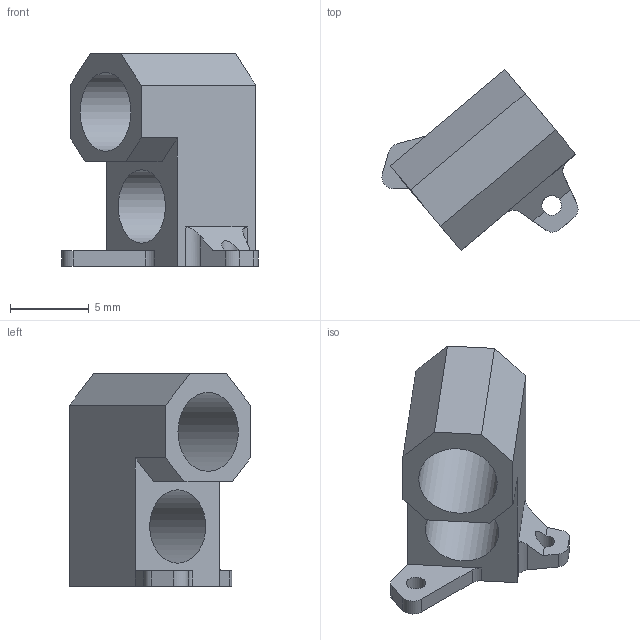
import cadquery as cq
import math

TURN_ANGLE = 40.0

WIDTH = 7.0
TUBE_LENGTH = 9.5
TOTAL_HEIGHT = 13.5
TUBE_BOTTOM = 6.65
TOP_CHAMFER = 2.0
BOTTOM_CHAMFER = 1.5
UPPER_BORE_DIAMETER = 5.0
UPPER_BORE_HEIGHT = 9.8

BLOCK_SETBACK = 3.0
LOWER_BORE_DIAMETER = 4.65
BORE_SPACING = 6.0

LUG_THICKNESS = 1.0
LUG_RADIUS = 1.5
LUG_ROUND = 0.75
SCREW_DIAMETER = 1.25

SIDE_LUG_TAPER = 15.0
RAMP_RUN = LUG_RADIUS

FRONT_SCREW_REACH = 2.015
FRONT_SCREW_INSET = 0.74
FRONT_LUG_END_NORMAL = 124.0
FRONT_LUG_RIGHT_NORMAL = 270.0 - TURN_ANGLE

HALF_WIDTH = WIDTH / 2
BLOCK_LENGTH = TUBE_LENGTH - BLOCK_SETBACK
BLOCK_TOP = TUBE_BOTTOM + BOTTOM_CHAMFER
LOWER_BORE_HEIGHT = UPPER_BORE_HEIGHT - BORE_SPACING
SIDE_SCREW = (BLOCK_SETBACK + BLOCK_LENGTH / 2, -HALF_WIDTH - LUG_RADIUS)
BLOCK_CORNER = (BLOCK_SETBACK, HALF_WIDTH)
FRONT_SCREW = (BLOCK_SETBACK - FRONT_SCREW_REACH, HALF_WIDTH - FRONT_SCREW_INSET)


def tube():
    """Solid octagonal bar."""
    top_half = HALF_WIDTH - TOP_CHAMFER
    bottom_half = HALF_WIDTH - BOTTOM_CHAMFER
    shoulder = TOTAL_HEIGHT - TOP_CHAMFER
    right_side = [
        (bottom_half, TUBE_BOTTOM),
        (HALF_WIDTH, BLOCK_TOP),
        (HALF_WIDTH, shoulder),
        (top_half, TOTAL_HEIGHT),
    ]
    left_side = [(-y, z) for y, z in reversed(right_side)]
    return cq.Workplane("YZ").polyline(right_side + left_side).close().extrude(TUBE_LENGTH)


def block(height):
    """Box on the footprint of the lower block."""
    return cq.Workplane("XY").box(BLOCK_LENGTH, WIDTH, height, centered=False).translate(
        (BLOCK_SETBACK, -HALF_WIDTH, 0)
    )


def bore(diameter, height):
    """Cylinder along the full length of the tube."""
    return cq.Workplane("YZ").center(0, height).circle(diameter / 2).extrude(TUBE_LENGTH)


def screw_hole(center):
    """Vertical cylinder tall enough to cut through the lug and its ramp."""
    depth = LUG_THICKNESS + RAMP_RUN
    return cq.Workplane("XY").center(*center).circle(SCREW_DIAMETER / 2).extrude(depth)


def tangent_corner(center, first_normal, second_normal):
    """Corner of two lug sides, each given by the direction (degrees) it faces."""
    middle = math.radians((first_normal + second_normal) / 2)
    half_turn = math.radians((second_normal - first_normal) / 2)
    reach = LUG_RADIUS / math.cos(half_turn)
    return (center[0] + reach * math.cos(middle), center[1] + reach * math.sin(middle))


def side_through(center, normal, x=None, y=None):
    """Point of a lug side at the given x or the given y."""
    cos_n = math.cos(math.radians(normal))
    sin_n = math.sin(math.radians(normal))
    if y is None:
        return (x, center[1] + (LUG_RADIUS - (x - center[0]) * cos_n) / sin_n)
    return (center[0] + (LUG_RADIUS - (y - center[1]) * sin_n) / cos_n, y)


def lug(outline, rounded_corners, height):
    """Lug grown out of the block footprint, with the given vertical corners rounded."""
    body = block(height).union(cq.Workplane("XY").polyline(outline).close().extrude(height))
    for x, y in rounded_corners:
        edge = cq.selectors.NearestToPointSelector((x, y, height / 2))
        body = body.edges("|Z").edges(edge).fillet(LUG_ROUND)
    return body


def side_lug():
    front_normal = 180 + SIDE_LUG_TAPER
    end_normal = 270
    rear_normal = 360 - SIDE_LUG_TAPER
    corners = [
        side_through(SIDE_SCREW, front_normal, y=-HALF_WIDTH),
        tangent_corner(SIDE_SCREW, front_normal, end_normal),
        tangent_corner(SIDE_SCREW, end_normal, rear_normal),
        side_through(SIDE_SCREW, rear_normal, y=-HALF_WIDTH),
    ]
    inside = (SIDE_SCREW[0], 0)
    height = LUG_THICKNESS + RAMP_RUN
    body = lug(corners + [inside], corners, height)
    lug_end = -HALF_WIDTH - 2 * LUG_RADIUS
    above_ramp = (
        cq.Workplane("YZ")
        .polyline([
            (-HALF_WIDTH, height),
            (-HALF_WIDTH - RAMP_RUN, LUG_THICKNESS),
            (lug_end, LUG_THICKNESS),
            (lug_end, height),
        ])
        .close()
        .extrude(TUBE_LENGTH)
    )
    return body.cut(above_ramp)


def front_lug():
    corner_distance = math.hypot(FRONT_SCREW_REACH, FRONT_SCREW_INSET)
    corner_direction = math.degrees(math.atan2(FRONT_SCREW_INSET, FRONT_SCREW_REACH))
    left_normal = corner_direction + math.degrees(math.acos(LUG_RADIUS / corner_distance))
    outer_corners = [
        tangent_corner(FRONT_SCREW, left_normal, FRONT_LUG_END_NORMAL),
        tangent_corner(FRONT_SCREW, FRONT_LUG_END_NORMAL, FRONT_LUG_RIGHT_NORMAL),
        side_through(FRONT_SCREW, FRONT_LUG_RIGHT_NORMAL, x=BLOCK_SETBACK),
    ]
    return lug([BLOCK_CORNER] + outer_corners, outer_corners, LUG_THICKNESS)


body = tube().union(block(BLOCK_TOP)).union(side_lug()).union(front_lug())
body = body.cut(bore(UPPER_BORE_DIAMETER, UPPER_BORE_HEIGHT))
body = body.cut(bore(LOWER_BORE_DIAMETER, LOWER_BORE_HEIGHT))
for screw in (SIDE_SCREW, FRONT_SCREW):
    body = body.cut(screw_hole(screw))

result = body.rotate((0, 0, 0), (0, 0, 1), TURN_ANGLE)